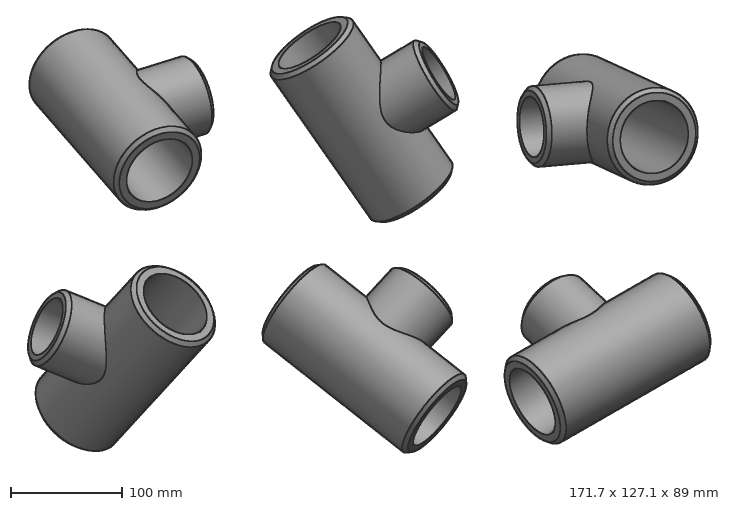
import cadquery as cq

run_length = 171.7
run_diameter = 89.0
run_bore = 66.6

branch_reach = 82.6
branch_diameter = 73.1
wall_ratio = run_bore / run_diameter
branch_bore = branch_diameter * wall_ratio

end_chamfer = 3.8


def run_cylinder(diameter):
    """Cylinder along X over the full pipe length."""
    start = cq.Workplane("YZ").workplane(offset=-run_length / 2)
    return start.circle(diameter / 2).extrude(run_length)


def branch_cylinder(diameter):
    """Cylinder from the pipe axis to the open end of the branch."""
    return cq.Workplane("XZ").circle(diameter / 2).extrude(-branch_reach)


run = run_cylinder(run_diameter).faces("<X or >X").chamfer(end_chamfer)
branch = branch_cylinder(branch_diameter).faces(">Y").chamfer(end_chamfer)

result = run.union(branch).cut(run_cylinder(run_bore)).cut(branch_cylinder(branch_bore))